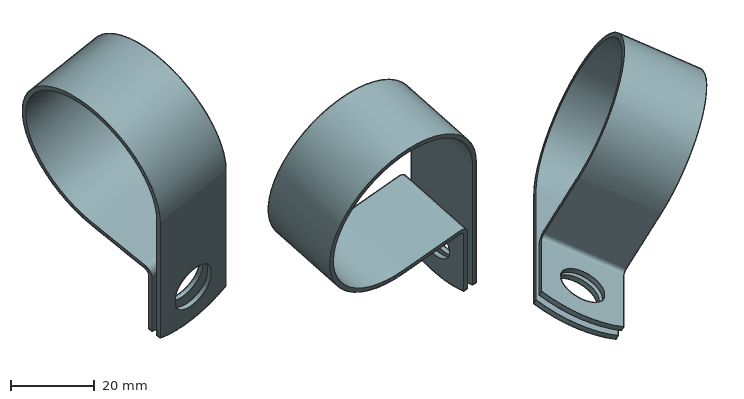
import cadquery as cq
import math

outer_radius = 23.45
thickness = 1.2
width = 22.2
height = 72.65
leg_gap = 1.6
bend_radius = 2.5
hole_diameter = 11.9
slot_length = 14.0
hole_height = 12.7
tip_rise = 2.6

inner_radius = outer_radius - thickness
bottom = outer_radius - height
inner_leg_outside = inner_radius - leg_gap
inner_leg_inside = inner_leg_outside - thickness
bend_x = inner_leg_outside - bend_radius
bend_z = -inner_radius - bend_radius
inner_bend_radius = bend_radius - thickness
diagonal = math.sqrt(0.5)


def strap():
    """One bent strip: outer leg, three-quarter loop, flat floor, inner leg."""
    profile = (
        cq.Workplane("XZ")
        .moveTo(outer_radius, bottom)
        .lineTo(outer_radius, 0)
        .threePointArc((-outer_radius * diagonal, outer_radius * diagonal), (0, -outer_radius))
        .lineTo(bend_x, -outer_radius)
        .threePointArc(
            (bend_x + inner_bend_radius * diagonal, bend_z + inner_bend_radius * diagonal),
            (inner_leg_inside, bend_z),
        )
        .lineTo(inner_leg_inside, bottom)
        .lineTo(inner_leg_outside, bottom)
        .lineTo(inner_leg_outside, bend_z)
        .threePointArc(
            (bend_x + bend_radius * diagonal, bend_z + bend_radius * diagonal),
            (bend_x, -inner_radius),
        )
        .lineTo(0, -inner_radius)
        .threePointArc((-inner_radius * diagonal, inner_radius * diagonal), (inner_radius, 0))
        .lineTo(inner_radius, bottom)
        .close()
    )
    return profile.extrude(width / 2, both=True)


def side_envelope():
    """Strip outline seen along X, with the leg tips rounded to a shallow arc."""
    return (
        cq.Workplane("YZ")
        .moveTo(-width / 2, outer_radius)
        .lineTo(-width / 2, bottom + tip_rise)
        .threePointArc((0, bottom), (width / 2, bottom + tip_rise))
        .lineTo(width / 2, outer_radius)
        .close()
        .extrude(outer_radius, both=True)
    )


def inner_leg_hole():
    """Round hole through the inner leg only."""
    return (
        cq.Workplane("YZ")
        .center(0, bottom + hole_height)
        .circle(hole_diameter / 2)
        .extrude(inner_leg_outside)
    )


def outer_leg_slot():
    """Upright slot through the outer leg only, centred on the inner hole."""
    return (
        cq.Workplane("YZ", origin=(inner_radius, 0, 0))
        .center(0, bottom + hole_height)
        .slot2D(slot_length, hole_diameter, 90)
        .extrude(thickness)
    )


result = strap().intersect(side_envelope()).cut(inner_leg_hole()).cut(outer_leg_slot())